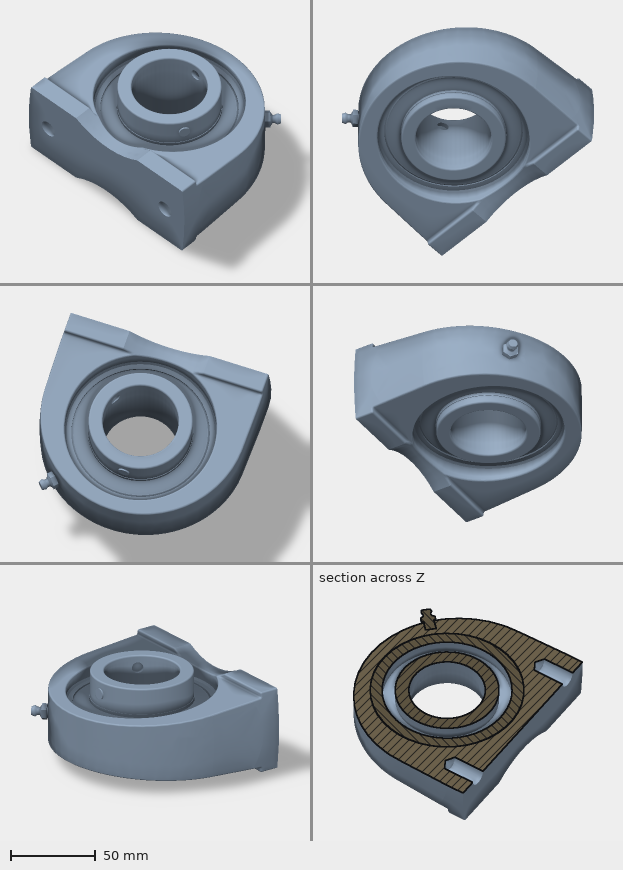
import cadquery as cq
import math


AXIS_HEIGHT = 54.0
CROWN_Y = 54.0
CROWN_RADIUS = 62.57
SIDE_TAPER = math.radians(1.5)
SIDE_BULGE_RADIUS = 210.0
BODY_HALF_AT_CROWN = 16.1
BODY_HALF_AT_FOOT = 22.2
CAST_ROUND = 1.0

FOOT_HALF_LENGTH = 63.48
FOOT_HALF_WIDTH = 25.55
FOOT_THICKNESS = 12.0
FOOT_BULGE_RADIUS = 185.0
SCALLOP_RADIUS = 50.0
SCALLOP_HALF_CHORD = 25.0
BOLT_DIAMETER = 10.59
BOLT_SPACING = 95.0
BOLT_DEPTH = 20.0
DRILL_POINT_ANGLE = math.radians(118.0)

MOUTH_DIAMETER = 90.1
MOUTH_ROUND = 0.85
SHOULDER_Z = 12.3

RING_EDGE_RADIUS = 44.0
RING_FACE_Z = 11.0
SEAL_RECESS_RADIUS = 41.0
RACEWAY_DIAMETER = 76.65

SHAFT_DIAMETER = 45.0
SLEEVE_DIAMETER = 61.72
SLEEVE_TOP = 30.15
SLEEVE_BOTTOM = -19.0
SLEEVE_ROUND = 1.0
SCREW_DIAMETER = 6.78
SCREW_Z = 22.3
SCREW_ANGLES = (90.0, -30.0)
SCREW_OUTER = 31.75
SCREW_INNER = 25.0

SEAL_BACK_Z = 7.5
SEAL_EDGE_Z = 9.9
SEAL_RIM_Z = 10.8
SEAL_CONE_TOP = 12.0
SEAL_LIP_TOP = 14.0
SEAL_RIM_RADIUS = 39.9
SEAL_CONE_DIAMETER = 78.74
SEAL_LIP_DIAMETER = 62.48

NIPPLE_ANGLE = 45.0
SHANK_DIAMETER = 6.0
SHANK_START = 50.0
HEX_FLATS = 9.0
HEX_START = 56.5
HEX_TOP = 59.6
NECK_DIAMETER = 5.0
NECK_START = 60.9
NECK_TOP = 62.4
HEAD_DIAMETER = 6.78
HEAD_WIDEST = 63.9
TIP_DIAMETER = 5.3
NIPPLE_TIP = 66.0

FOOT_TOP_Y = FOOT_THICKNESS - AXIS_HEIGHT
SEAT_RADIUS = math.hypot(RING_EDGE_RADIUS, RING_FACE_Z)
TOLERANCE = 0.01


def sagitta(radius, half_chord):
    return radius - math.sqrt(radius**2 - half_chord**2)


def spin(profile, axis_direction):
    """Revolves a closed profile about an axis through its origin."""
    return profile.close().revolve(360, (0, 0, 0), axis_direction)


def bar(diameter, start, end):
    """Round bar along X."""
    return cq.Workplane("YZ", origin=(start, 0, 0)).circle(diameter / 2).extrude(end - start)


def turn_to(part, angle, z=0):
    """Turns a part built along X to its angle about the bearing axis, at height z."""
    return part.rotate((0, 0, 0), (0, 0, 1), angle).translate((0, 0, z))


def arch_wire(z, inset):
    """Arch outline at height z. The inset narrows it while the crown point stays in place."""
    radius = CROWN_RADIUS - inset
    tangent_x = radius * math.cos(SIDE_TAPER)
    tangent_y = CROWN_Y - radius + radius * math.sin(SIDE_TAPER)
    foot_x = tangent_x + (tangent_y + AXIS_HEIGHT) * math.tan(SIDE_TAPER)
    arch = (
        cq.Workplane("XY", origin=(0, 0, z))
        .moveTo(-foot_x, -AXIS_HEIGHT)
        .lineTo(-tangent_x, tangent_y)
        .threePointArc((0, CROWN_Y), (tangent_x, tangent_y))
        .lineTo(foot_x, -AXIS_HEIGHT)
        .close()
    )
    return arch.wires().val()


def make_arch():
    """Arch with sides that bulge outward at the mid plane."""
    inset = sagitta(SIDE_BULGE_RADIUS, FOOT_HALF_WIDTH)
    sections = [
        arch_wire(-FOOT_HALF_WIDTH, inset),
        arch_wire(0, 0),
        arch_wire(FOOT_HALF_WIDTH, inset),
    ]
    return cq.Workplane(cq.Solid.makeLoft(sections))


def make_foot_barrel():
    """Bar along Y with convex ends that limits the length of the foot."""
    end_x = FOOT_HALF_LENGTH - sagitta(FOOT_BULGE_RADIUS, FOOT_HALF_WIDTH)
    return (
        cq.Workplane("XZ")
        .moveTo(-end_x, -FOOT_HALF_WIDTH)
        .threePointArc((-FOOT_HALF_LENGTH, 0), (-end_x, FOOT_HALF_WIDTH))
        .lineTo(end_x, FOOT_HALF_WIDTH)
        .threePointArc((FOOT_HALF_LENGTH, 0), (end_x, -FOOT_HALF_WIDTH))
        .close()
        .extrude(2 * AXIS_HEIGHT, both=True)
    )


def make_scallop(side):
    """Cylinder along Y that hollows the middle of the foot."""
    center_z = FOOT_HALF_WIDTH + math.sqrt(SCALLOP_RADIUS**2 - SCALLOP_HALF_CHORD**2)
    return (
        cq.Workplane("XZ", origin=(0, FOOT_TOP_Y, side * center_z))
        .circle(SCALLOP_RADIUS)
        .extrude(FOOT_THICKNESS)
    )


def step_edges(part):
    """Long edges in the plane where the foot steps down to the body."""

    def is_step(edge):
        box = edge.BoundingBox()
        flat = box.ylen < TOLERANCE and abs(box.ymin - FOOT_TOP_Y) < TOLERANCE
        return flat and box.xlen > CAST_ROUND

    return [edge for edge in part.edges().vals() if is_step(edge)]


def make_side_profile():
    """Wedge-shaped body on a thicker foot, with scallops and rounded steps."""
    upper_half = [
        (CROWN_Y, BODY_HALF_AT_CROWN),
        (FOOT_TOP_Y, BODY_HALF_AT_FOOT),
        (FOOT_TOP_Y, FOOT_HALF_WIDTH),
        (-AXIS_HEIGHT, FOOT_HALF_WIDTH),
    ]
    lower_half = [(y, -z) for y, z in reversed(upper_half)]
    profile = (
        cq.Workplane("YZ")
        .polyline(upper_half + lower_half)
        .close()
        .extrude(2 * FOOT_HALF_LENGTH, both=True)
    )
    for side in (1, -1):
        profile = profile.cut(make_scallop(side))
    return profile.newObject(step_edges(profile)).fillet(CAST_ROUND)


def outline_edges(body):
    """Edges along both rims of the outline: they run in Y on one side of the mid plane.

    The foot edges of the scallops lie away from the ends and are left sharp.
    """

    def is_outline(edge):
        box = edge.BoundingBox()
        at_end = max(-box.xmin, box.xmax) > FOOT_HALF_LENGTH / 2
        return at_end and box.ylen > TOLERANCE and box.zmin * box.zmax > 0

    return [edge for edge in body.edges().vals() if is_outline(edge)]


def make_bore():
    mouth_radius = MOUTH_DIAMETER / 2
    profile = (
        cq.Workplane("XZ")
        .moveTo(0, -FOOT_HALF_WIDTH)
        .lineTo(mouth_radius, -FOOT_HALF_WIDTH)
        .lineTo(mouth_radius, -SHOULDER_Z)
        .lineTo(RING_EDGE_RADIUS, -RING_FACE_Z)
        .threePointArc((SEAT_RADIUS, 0), (RING_EDGE_RADIUS, RING_FACE_Z))
        .lineTo(mouth_radius, SHOULDER_Z)
        .lineTo(mouth_radius, FOOT_HALF_WIDTH)
        .lineTo(0, FOOT_HALF_WIDTH)
    )
    return spin(profile, (0, 1, 0))


def mouth_edges(body):
    """Edges where the bore mouth breaks through the faces of the body."""

    def is_mouth(edge):
        points = [edge.positionAt(place) for place in (0, 0.5, 1)]
        on_mouth = all(abs(math.hypot(p.x, p.y) - MOUTH_DIAMETER / 2) < TOLERANCE for p in points)
        outside = all(abs(p.z) > SHOULDER_Z + TOLERANCE for p in points)
        return on_mouth and outside

    return [edge for edge in body.edges().vals() if is_mouth(edge)]


def bolt_hole(x):
    """Blind hole up from the underside of the foot with a drill point."""
    radius = BOLT_DIAMETER / 2
    point_depth = radius / math.tan(DRILL_POINT_ANGLE / 2)
    profile = cq.Workplane("XY").polyline(
        [(0, 0), (radius, 0), (radius, BOLT_DEPTH), (0, BOLT_DEPTH + point_depth)]
    )
    return spin(profile, (0, 1, 0)).translate((x, -AXIS_HEIGHT, 0))


def make_housing():
    body = make_arch().intersect(make_side_profile()).intersect(make_foot_barrel())
    body = body.newObject(outline_edges(body)).fillet(CAST_ROUND)
    body = body.cut(make_bore())
    body = body.newObject(mouth_edges(body)).fillet(MOUTH_ROUND)
    for x in (-BOLT_SPACING / 2, BOLT_SPACING / 2):
        body = body.cut(bolt_hole(x))
    return body.cut(turn_to(make_shank(), NIPPLE_ANGLE))


def make_outer_ring():
    """Ring with a spherical outside and a recess for a seal at each end of its bore."""
    raceway_radius = RACEWAY_DIAMETER / 2
    profile = (
        cq.Workplane("XZ")
        .moveTo(SEAL_RECESS_RADIUS, -RING_FACE_Z)
        .lineTo(RING_EDGE_RADIUS, -RING_FACE_Z)
        .threePointArc((SEAT_RADIUS, 0), (RING_EDGE_RADIUS, RING_FACE_Z))
        .lineTo(SEAL_RECESS_RADIUS, RING_FACE_Z)
        .lineTo(SEAL_RECESS_RADIUS, SEAL_BACK_Z)
        .lineTo(raceway_radius, SEAL_BACK_Z)
        .lineTo(raceway_radius, -SEAL_BACK_Z)
        .lineTo(SEAL_RECESS_RADIUS, -SEAL_BACK_Z)
    )
    return spin(profile, (0, 1, 0))


def make_seal(side):
    """Slightly conical disc with a lip around the sleeve, on the +Z or -Z side of the bearing."""
    inner_radius = SLEEVE_DIAMETER / 2
    lip_radius = SEAL_LIP_DIAMETER / 2
    section = [
        (inner_radius, SEAL_BACK_Z),
        (SEAL_RECESS_RADIUS, SEAL_BACK_Z),
        (SEAL_RECESS_RADIUS, SEAL_EDGE_Z),
        (SEAL_RIM_RADIUS, SEAL_RIM_Z),
        (SEAL_CONE_DIAMETER / 2, SEAL_RIM_Z),
        (lip_radius, SEAL_CONE_TOP),
        (lip_radius, SEAL_LIP_TOP),
        (inner_radius, SEAL_LIP_TOP),
    ]
    profile = cq.Workplane("XZ").polyline([(radius, side * z) for radius, z in section])
    return spin(profile, (0, 1, 0))


def make_sleeve():
    sleeve = (
        cq.Workplane("XY", origin=(0, 0, SLEEVE_BOTTOM))
        .circle(SLEEVE_DIAMETER / 2)
        .circle(SHAFT_DIAMETER / 2)
        .extrude(SLEEVE_TOP - SLEEVE_BOTTOM)
        .faces("<Z or >Z")
        .edges()
        .fillet(SLEEVE_ROUND)
    )
    screw_hole = bar(SCREW_DIAMETER, 0, SCREW_OUTER)
    for angle in SCREW_ANGLES:
        sleeve = sleeve.cut(turn_to(screw_hole, angle, SCREW_Z))
    return sleeve


def make_set_screw(angle):
    return turn_to(bar(SCREW_DIAMETER, SCREW_INNER, SCREW_OUTER), angle, SCREW_Z)


def make_shank():
    return bar(SHANK_DIAMETER, SHANK_START, HEX_START)


def make_nipple():
    hexagon = (
        cq.Workplane("YZ", origin=(HEX_START, 0, 0))
        .polygon(6, HEX_FLATS / math.cos(math.pi / 6))
        .extrude(HEX_TOP - HEX_START)
        .rotate((0, 0, 0), (1, 0, 0), 90)
    )
    head_profile = cq.Workplane("XY").polyline(
        [
            (HEX_TOP, 0),
            (HEX_TOP, HEX_FLATS / 2),
            (NECK_START, NECK_DIAMETER / 2),
            (NECK_TOP, NECK_DIAMETER / 2),
            (HEAD_WIDEST, HEAD_DIAMETER / 2),
            (NIPPLE_TIP, TIP_DIAMETER / 2),
            (NIPPLE_TIP, 0),
        ]
    )
    nipple = make_shank().union(hexagon).union(spin(head_profile, (1, 0, 0)))
    return turn_to(nipple, NIPPLE_ANGLE)


housing = make_housing()
outer_ring = make_outer_ring()
seals = [make_seal(side) for side in (1, -1)]
sleeve = make_sleeve()
set_screws = [make_set_screw(angle) for angle in SCREW_ANGLES]
nipple = make_nipple()

bodies = [housing, outer_ring, *seals, sleeve, *set_screws, nipple]
result = cq.Compound.makeCompound([solid for body in bodies for solid in body.solids().vals()])